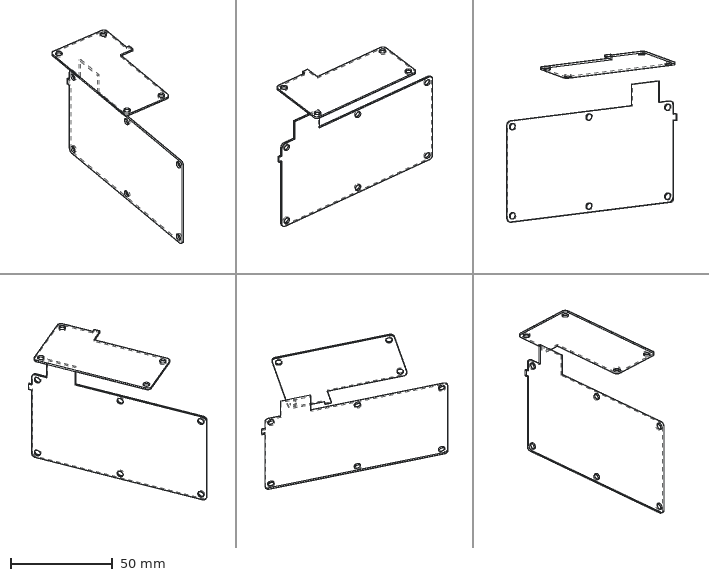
import cadquery as cq

CORNER_RADIUS = 2.0
THICKNESS = CORNER_RADIUS / 2
HOLE_DIAMETER = 3.2
HOLE_INSET = 3.0
SMALL_TAB_WIDTH = 3.2
SMALL_TAB_LENGTH = 1.7

OVERALL_LENGTH = 94.8
PLATE_LEFT = SMALL_TAB_LENGTH
PLATE_LENGTH = OVERALL_LENGTH - SMALL_TAB_LENGTH
PLATE_HEIGHT = 51.1
MIDDLE_HOLE_OFFSET = 47.1
TOP_TAB_OFFSET = 8.0
TOP_TAB_WIDTH = 15.3
TOP_TAB_HEIGHT = 10.8
SIDE_TAB_DROP = 6.8

LID_LEFT = 9.7
LID_FRONT = -17.45
LID_TOP = 74.8
LID_LENGTH = 62.3
LID_LONG_DEPTH = 33.3
LID_SHORT_DEPTH = 27.1
LID_STEP_OFFSET = 21.2
LID_TILT = 1.4


def rectangle(left, bottom, width, height):
    """Flat slab with its lower left corner at (left, bottom)."""
    return cq.Workplane("XY").box(width, height, THICKNESS, centered=False).translate((left, bottom, 0))


def drill(slab, centers):
    """Cut the screw holes through a flat slab."""
    holes = cq.Workplane("XY").pushPoints(centers).circle(HOLE_DIAMETER / 2).extrude(THICKNESS)
    return slab.cut(holes)


def make_upright_plate():
    """Rounded rectangle with a top tab, a small side tab and six holes."""
    plate = rectangle(0, 0, PLATE_LENGTH, PLATE_HEIGHT).edges("|Z").fillet(CORNER_RADIUS)

    top_tab = rectangle(TOP_TAB_OFFSET, 0, TOP_TAB_WIDTH, PLATE_HEIGHT + TOP_TAB_HEIGHT)
    side_tab_bottom = PLATE_HEIGHT - SIDE_TAB_DROP - SMALL_TAB_WIDTH
    side_tab_reach = SMALL_TAB_LENGTH + HOLE_INSET
    side_tab = rectangle(-SMALL_TAB_LENGTH, side_tab_bottom, side_tab_reach, SMALL_TAB_WIDTH)
    plate = plate.union(top_tab).union(side_tab)

    hole_columns = (HOLE_INSET, MIDDLE_HOLE_OFFSET, PLATE_LENGTH - HOLE_INSET)
    hole_rows = (HOLE_INSET, PLATE_HEIGHT - HOLE_INSET)
    plate = drill(plate, [(x, z) for x in hole_columns for z in hole_rows])

    plate = plate.rotate((0, 0, 0), (1, 0, 0), 90)
    return plate.translate((PLATE_LEFT, THICKNESS, 0))


def make_lid():
    """Stepped slab with a small rear tab and four holes, sloping down toward the rear."""
    lid = (
        cq.Workplane("XY")
        .polyline([
            (0, 0),
            (LID_LENGTH, 0),
            (LID_LENGTH, LID_SHORT_DEPTH),
            (LID_STEP_OFFSET, LID_SHORT_DEPTH),
            (LID_STEP_OFFSET, LID_LONG_DEPTH),
            (0, LID_LONG_DEPTH),
        ])
        .close()
        .extrude(THICKNESS)
    )
    lid = lid.edges("|Z and (<X or >X)").fillet(CORNER_RADIUS)

    rear_tab_depth = LID_LONG_DEPTH + SMALL_TAB_LENGTH
    rear_tab = rectangle(LID_STEP_OFFSET - SMALL_TAB_WIDTH, 0, SMALL_TAB_WIDTH, rear_tab_depth)
    lid = lid.union(rear_tab)

    right_hole = LID_LENGTH - HOLE_INSET
    lid = drill(lid, [
        (HOLE_INSET, HOLE_INSET),
        (right_hole, HOLE_INSET),
        (HOLE_INSET, LID_LONG_DEPTH - HOLE_INSET),
        (right_hole, LID_SHORT_DEPTH - HOLE_INSET),
    ])

    lid = lid.translate((0, 0, -THICKNESS)).rotate((0, 0, 0), (1, 0, 0), -LID_TILT)
    return lid.translate((LID_LEFT, LID_FRONT, LID_TOP))


upright_plate = make_upright_plate()
lid = make_lid()

result = cq.Compound.makeCompound([upright_plate.val(), lid.val()])